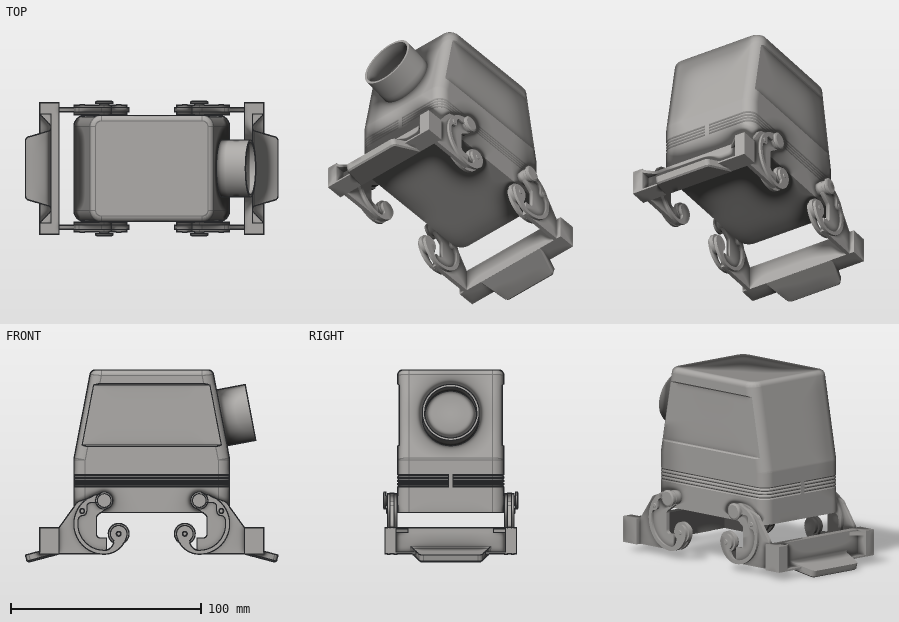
import cadquery as cq
import math


HOOD_LENGTH = 82.0
HOOD_WIDTH = 56.0
HOOD_HEIGHT = 75.1
OVERALL_HEIGHT = 101.22
TAPER_START = 28.2
TAPER_ANGLE = 10.8
TAPER_BLEND_RADIUS = 5.0
CORNER_RADIUS = 6.0
TOP_RADIUS = 3.0

PANEL_BOTTOM = 34.8
PANEL_TOP = 67.8
PANEL_DEPTH = 0.85
PANEL_BEVEL = 0.8

GROOVE_COUNT = 4
GROOVE_PITCH = 1.8
GROOVE_OPENING = 1.25
GROOVE_DEPTH = 0.6
LOWEST_GROOVE = 14.0
GROOVE_GAP = 2.5

ENTRY_DIAMETER = 30.0
ENTRY_BORE = 27.4
ENTRY_END_X = 52.0
ENTRY_END_Z = 52.7
ENTRY_LENGTH = 25.0
ENTRY_BORE_DEPTH = 12.0

PLATE_INNER_Y = 29.85
PLATE_OUTER_Y = 32.0
HOOK_INNER_Y = 28.2
HOOK_OUTER_Y = 33.4
PLATE_SHOULDER_START = (-40.5, 3.6)
PLATE_SHOULDER_END = (-38.4, 5.8)
PLATE_SHOULDER_RADIUS = 4.5
PLATE_TOE_X = -23.7
MOUTH_TIP = (-23.2, 2.5)
MOUTH_BEVEL_END = (-28.2, -1.1)
MOUTH_BACK_X = -29.0
MOUTH_BACK_TOP = -2.6
MOUTH_FLOOR_Z = -13.4
MOUTH_CORNER_RADIUS = 2.0
PLATE_EDGE_ANGLE = 18.0
PIVOT_X = -25.0
PIVOT_Z = 6.3
HOOK_CENTER_Z = -6.0
HOOK_RADIUS = 16.0
HOOK_RIM = 2.1
HOOK_NOSE_INNER_RADIUS = 5.0
PLATE_PIVOT_RADIUS = 3.9
PIVOT_END_RADIUS = HOOK_CENTER_Z + HOOK_RADIUS - PIVOT_Z
ROLLER_X = -17.4
ROLLER_Z = -11.2
ROLLER_RADIUS = 5.5
ROLLER_FLANGE_RADIUS = 4.35
RIVET_X = -36.6
RIVET_Z = 0.8
RIVET_RADIUS = 1.3
RIVET_HEIGHT = 0.3
RIVET_CHAMFER = 0.25
RIVET_PAD_RADIUS = 2.4
PAD_BLEND_RADIUS = 2.6
RIM_START_Z = -3.4
WEB_BOTTOM_Z = 5.2
WEB_RADIUS = 2.2

PIN_RADIUS = 2.5
PIN_EMBED = 2.0
HEAD_RADIUS = 4.5
HEAD_INNER_Y = 34.1
HEAD_OUTER_Y = 35.5
HEAD_CHAMFER_DEPTH = 0.45
HEAD_CHAMFER_WIDTH = 0.9

BAR_OUTER_X = -59.0
BAR_INNER_X = -48.8
BAR_HALF_WIDTH = 34.7
BAR_TOP = -7.9
BAR_BOTTOM = -21.75
POCKET_BACK_X = -53.1
POCKET_HALF_WIDTH = 28.75
POCKET_FLOOR = 0.9
GUSSET_LEG = 6.2
GUSSET_THICKNESS = 1.8
GUSSET_DROP = 0.8
TAB_END_X = -66.535
TAB_LOW_Z = HOOD_HEIGHT - OVERALL_HEIGHT
TAB_ANGLE = 14.9
TAB_THICKNESS = 4.1
TAB_CHAMFER = 0.8
TAB_END_HALF_WIDTH = 16.2
TAB_FLARE_ANGLE = 15.5
TAB_CORNER_RADIUS = 2.5
TAB_ROOT_RADIUS = 1.3
TAB_ROOT_REACH = 22.0

SELECT_MARGIN = 0.1


def box_between(low, high):
    """Box spanning two opposite corner points."""
    size = [end - start for start, end in zip(low, high)]
    return cq.Workplane("XY").box(*size, centered=False).translate(low)


def xz_prism(outline, inner_y, outer_y):
    """Extrude an outline drawn in X and Z from Y = -inner_y to Y = -outer_y."""
    plane = cq.Workplane("XZ", origin=(0, -inner_y, 0))
    return outline(plane).extrude(outer_y - inner_y)


def xz_cylinder(x, z, radius, inner_y, outer_y):
    return xz_prism(lambda plane: plane.center(x, z).circle(radius), inner_y, outer_y)


def make_hood():
    half = HOOD_LENGTH / 2
    half_top = half - (HOOD_HEIGHT - TAPER_START) * math.tan(math.radians(TAPER_ANGLE))
    hood = (
        cq.Workplane("XZ", origin=(0, HOOD_WIDTH / 2, 0))
        .polyline([
            (-half, 0), (half, 0), (half, TAPER_START),
            (half_top, HOOD_HEIGHT), (-half_top, HOOD_HEIGHT), (-half, TAPER_START),
        ])
        .close()
        .extrude(HOOD_WIDTH)
    )
    bends = cq.selectors.BoxSelector(
        (-HOOD_LENGTH, -HOOD_WIDTH, TAPER_START - SELECT_MARGIN),
        (HOOD_LENGTH, HOOD_WIDTH, TAPER_START + SELECT_MARGIN),
    )
    hood = hood.edges("|Y").edges(bends).fillet(TAPER_BLEND_RADIUS)
    hood = hood.faces("<Y or >Y").edges("not (<Z or >Z)").fillet(CORNER_RADIUS)
    return hood.faces(">Z").edges().fillet(TOP_RADIUS)


def cut_side_panels(hood):
    outer = HOOD_WIDTH / 2
    floor = outer - PANEL_DEPTH
    cutter = (
        cq.Workplane("YZ", origin=(-HOOD_LENGTH / 2, 0, 0))
        .polyline([
            (-outer, PANEL_BOTTOM), (-floor, PANEL_BOTTOM + PANEL_BEVEL),
            (-floor, PANEL_TOP - PANEL_BEVEL), (-outer, PANEL_TOP),
        ])
        .close()
        .extrude(HOOD_LENGTH)
    )
    return hood.cut(cutter).cut(cutter.mirror("XZ"))


def cut_grooves(hood):
    """Cut the V grooves all around, leaving a plain strip in the middle of each end."""
    half_opening = GROOVE_OPENING / 2
    wall_angle = math.degrees(math.atan2(GROOVE_DEPTH, half_opening))
    root_outline = (
        cq.Sketch()
        .rect(HOOD_LENGTH - 2 * GROOVE_DEPTH, HOOD_WIDTH - 2 * GROOVE_DEPTH)
        .vertices()
        .fillet(CORNER_RADIUS - GROOVE_DEPTH)
    )
    strip = cq.Workplane("XY").box(2 * HOOD_LENGTH, GROOVE_GAP, 2 * HOOD_HEIGHT)
    for index in range(GROOVE_COUNT):
        z = LOWEST_GROOVE + index * GROOVE_PITCH
        center = cq.Workplane("XY", origin=(0, 0, z))
        band = center.rect(2 * HOOD_LENGTH, 2 * HOOD_WIDTH).extrude(half_opening, both=True)
        upper_core = center.placeSketch(root_outline).extrude(half_opening, taper=-wall_angle)
        lower_core = upper_core.mirror("XY", (0, 0, z))
        hood = hood.cut(band.cut(upper_core).cut(lower_core).cut(strip))
    return hood


def add_cable_entry(hood):
    angle = math.radians(TAPER_ANGLE)
    axis = cq.Vector(math.cos(angle), 0, math.sin(angle))
    end = cq.Vector(ENTRY_END_X, 0, ENTRY_END_Z)
    tube = cq.Solid.makeCylinder(ENTRY_DIAMETER / 2, ENTRY_LENGTH, end, axis * -1)
    bore = cq.Solid.makeCylinder(ENTRY_BORE / 2, ENTRY_BORE_DEPTH, end, axis * -1)
    return hood.union(cq.Workplane(tube)).cut(cq.Workplane(bore))


def plate_outline(plane):
    edge_angle = math.radians(PLATE_EDGE_ANGLE)
    edge_end = (
        PIVOT_X - PLATE_PIVOT_RADIUS * math.sin(edge_angle),
        PIVOT_Z + PLATE_PIVOT_RADIUS * math.cos(edge_angle),
    )
    mouth_corner = MOUTH_CORNER_RADIUS
    return (
        plane.moveTo(BAR_INNER_X, BAR_BOTTOM)
        .lineTo(BAR_INNER_X, BAR_TOP)
        .lineTo(*PLATE_SHOULDER_START)
        .radiusArc(PLATE_SHOULDER_END, PLATE_SHOULDER_RADIUS)
        .lineTo(*edge_end)
        .lineTo(PIVOT_X, PIVOT_Z)
        .lineTo(*MOUTH_TIP)
        .lineTo(*MOUTH_BEVEL_END)
        .radiusArc((MOUTH_BACK_X, MOUTH_BACK_TOP), -mouth_corner)
        .lineTo(MOUTH_BACK_X, MOUTH_FLOOR_Z + mouth_corner)
        .radiusArc((MOUTH_BACK_X + mouth_corner, MOUTH_FLOOR_Z), -mouth_corner)
        .lineTo(PLATE_TOE_X, MOUTH_FLOOR_Z)
        .lineTo(PLATE_TOE_X, BAR_BOTTOM)
        .close()
    )


def hook_outline(plane):
    hook_bottom = HOOK_CENTER_Z - HOOK_RADIUS
    rim_bottom = hook_bottom + HOOK_RIM
    rim_radius = HOOK_RADIUS - HOOK_RIM
    nose_x = PIVOT_X + HOOK_NOSE_INNER_RADIUS
    nose_z = rim_bottom + HOOK_NOSE_INNER_RADIUS
    run = ROLLER_X - PIVOT_X
    rise = ROLLER_Z - hook_bottom
    nose_radius = (run**2 + rise**2 - ROLLER_FLANGE_RADIUS**2) / (2 * (rise - ROLLER_FLANGE_RADIUS))
    nose_center_z = hook_bottom + nose_radius
    reach = math.hypot(run, ROLLER_Z - nose_center_z)
    touch_x = PIVOT_X + nose_radius * run / reach
    touch_z = nose_center_z + nose_radius * (ROLLER_Z - nose_center_z) / reach
    pad_right = RIVET_X + RIVET_PAD_RADIUS
    pad_bottom = RIVET_Z - RIVET_PAD_RADIUS
    rim_start_x = PIVOT_X - math.sqrt(rim_radius**2 - (RIM_START_Z - HOOK_CENTER_Z)**2)
    return (
        plane.moveTo(PIVOT_X, HOOK_CENTER_Z + HOOK_RADIUS)
        .threePointArc((PIVOT_X - HOOK_RADIUS, HOOK_CENTER_Z), (PIVOT_X, hook_bottom))
        .radiusArc((touch_x, touch_z), -nose_radius)
        .lineTo(ROLLER_X, ROLLER_Z)
        .lineTo(nose_x, nose_z)
        .radiusArc((PIVOT_X, rim_bottom), HOOK_NOSE_INNER_RADIUS)
        .radiusArc((rim_start_x, RIM_START_Z), rim_radius)
        .radiusArc((RIVET_X, pad_bottom), PAD_BLEND_RADIUS)
        .radiusArc((pad_right, RIVET_Z), -RIVET_PAD_RADIUS)
        .lineTo(pad_right, WEB_BOTTOM_Z - WEB_RADIUS)
        .radiusArc((pad_right + WEB_RADIUS, WEB_BOTTOM_Z), WEB_RADIUS)
        .lineTo(PIVOT_X, WEB_BOTTOM_Z)
        .close()
    )


def make_rivet_end(x, z):
    rivet = xz_cylinder(x, z, RIVET_RADIUS, HOOK_OUTER_Y, HOOK_OUTER_Y + RIVET_HEIGHT)
    return rivet.faces("<Y").chamfer(RIVET_CHAMFER)


def make_arm():
    """Plate and roller between two C-shaped hook cheeks, with the pivot pin through all of them."""
    arm = xz_prism(plate_outline, PLATE_INNER_Y, PLATE_OUTER_Y)
    for inner_y, outer_y in [(HOOK_INNER_Y, PLATE_INNER_Y), (PLATE_OUTER_Y, HOOK_OUTER_Y)]:
        arm = arm.union(xz_prism(hook_outline, inner_y, outer_y))
        arm = arm.union(xz_cylinder(ROLLER_X, ROLLER_Z, ROLLER_FLANGE_RADIUS, inner_y, outer_y))
    arm = arm.union(xz_cylinder(PIVOT_X, PIVOT_Z, PIVOT_END_RADIUS, HOOK_INNER_Y, HOOK_OUTER_Y))
    arm = arm.union(xz_cylinder(ROLLER_X, ROLLER_Z, ROLLER_RADIUS, PLATE_INNER_Y, PLATE_OUTER_Y))
    arm = arm.union(xz_cylinder(PIVOT_X, PIVOT_Z, PLATE_PIVOT_RADIUS, PLATE_INNER_Y, PLATE_OUTER_Y))
    arm = arm.union(make_rivet_end(RIVET_X, RIVET_Z)).union(make_rivet_end(ROLLER_X, ROLLER_Z))
    pin_start = HOOD_WIDTH / 2 - PIN_EMBED
    arm = arm.union(xz_cylinder(PIVOT_X, PIVOT_Z, PIN_RADIUS, pin_start, HEAD_INNER_Y))
    head = xz_cylinder(PIVOT_X, PIVOT_Z, HEAD_RADIUS, HEAD_INNER_Y, HEAD_OUTER_Y)
    return arm.union(head.faces("<Y").chamfer(HEAD_CHAMFER_DEPTH, HEAD_CHAMFER_WIDTH))


def make_tab():
    """Finger tab sloping down and outward, with its width flaring toward the crossbar."""
    angle = math.radians(TAB_ANGLE)
    low_x = TAB_END_X + TAB_THICKNESS * math.sin(angle)
    length = (BAR_INNER_X - low_x) / math.cos(angle)
    root_half_width = TAB_END_HALF_WIDTH + length * math.tan(math.radians(TAB_FLARE_ANGLE))
    slope_plane = cq.Plane(
        origin=(low_x, 0, TAB_LOW_Z - TAB_CHAMFER * math.sin(angle)),
        xDir=(math.cos(angle), 0, math.sin(angle)),
        normal=(-math.sin(angle), 0, math.cos(angle)),
    )
    tab = (
        cq.Workplane(slope_plane)
        .polyline([
            (0, -TAB_END_HALF_WIDTH), (length, -root_half_width),
            (length, root_half_width), (0, TAB_END_HALF_WIDTH),
        ])
        .close()
        .extrude(TAB_THICKNESS)
        .edges(cq.selectors.ParallelDirSelector(slope_plane.zDir))
        .edges("<X")
        .fillet(TAB_CORNER_RADIUS)
    )
    underside = cq.selectors.DirectionSelector(-slope_plane.zDir)
    return tab.faces(underside).edges("not >X").chamfer(TAB_CHAMFER)


def make_crossbar():
    pocket_floor_z = BAR_BOTTOM + POCKET_FLOOR
    bar = box_between(
        (BAR_OUTER_X, -BAR_HALF_WIDTH, BAR_BOTTOM), (BAR_INNER_X, BAR_HALF_WIDTH, BAR_TOP)
    )
    pocket = box_between(
        (BAR_OUTER_X, -POCKET_HALF_WIDTH, pocket_floor_z), (POCKET_BACK_X, POCKET_HALF_WIDTH, BAR_TOP)
    )
    bar = bar.cut(pocket)
    gusset = (
        cq.Workplane("XY", origin=(0, 0, BAR_TOP - GUSSET_DROP))
        .polyline([
            (POCKET_BACK_X, -POCKET_HALF_WIDTH),
            (POCKET_BACK_X, -POCKET_HALF_WIDTH + GUSSET_LEG),
            (BAR_OUTER_X, -POCKET_HALF_WIDTH),
        ])
        .close()
        .extrude(-GUSSET_THICKNESS)
    )
    bar = bar.union(gusset).union(gusset.mirror("XZ")).union(make_tab())
    root = cq.selectors.BoxSelector(
        (POCKET_BACK_X - SELECT_MARGIN, -TAB_ROOT_REACH, pocket_floor_z + SELECT_MARGIN),
        (POCKET_BACK_X + SELECT_MARGIN, TAB_ROOT_REACH, BAR_TOP - GUSSET_LEG),
    )
    return bar.edges(root).fillet(TAB_ROOT_RADIUS)


def make_lever():
    arm = make_arm()
    return make_crossbar().union(arm).union(arm.mirror("XZ"))


hood = add_cable_entry(cut_grooves(cut_side_panels(make_hood())))
lever = make_lever()
result = hood.union(lever).union(lever.mirror("YZ"))